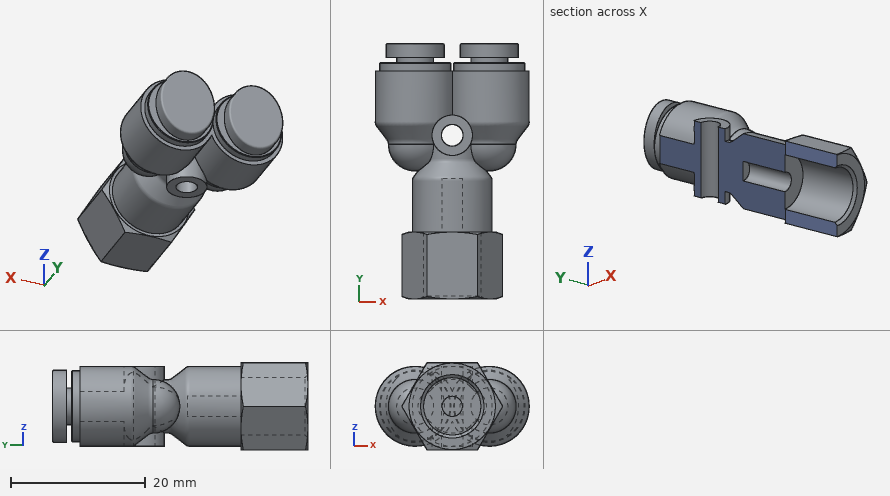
import cadquery as cq
import math

TOTAL_LENGTH = 38
BODY_DIAMETER = 11.9
BODY_RADIUS = BODY_DIAMETER / 2
TOTAL_WIDTH = 22.9
BRANCH_OFFSET = (TOTAL_WIDTH - BODY_DIAMETER) / 2
BRANCH_POSITIONS = (-BRANCH_OFFSET, BRANCH_OFFSET)

NUT_ACROSS_FLATS = 13.0
NUT_ACROSS_CORNERS = NUT_ACROSS_FLATS / math.cos(math.pi / 6)
NUT_LENGTH = 10.0
NUT_FACE_RADIUS = 6.42
NUT_CHAMFER_DEPTH = 0.38
NUT_BORE_DIAMETER = 8.5
NUT_BORE_CHAMFER = 0.45

NECK_RADIUS = 4.0
STEM_SHOULDER_Y = 17.95
STEM_NECK_Y = 20.5
STEM_BLEND = 0.95
BALL_Y = 23.03
BRANCH_NECK_Y = 23.4
BRANCH_SHOULDER_Y = 26.0
BRANCH_TOP_Y = 33.95
BRANCH_BLEND = 1.15
PASSAGE_DIAMETER = 3.0
BOSS_DIAMETER = 6.0
BOSS_HOLE_DIAMETER = 3.2
BOSS_Y = 24.35

COLLAR_DIAMETER = 10.6
COLLAR_TOP_Y = 35.15
COLLAR_CHAMFER = 0.1

BUTTON_WIDTH = 8.65
BUTTON_HEIGHT = 10.8
BUTTON_FLANGE_THICKNESS = 2.1
BUTTON_ROUNDING = 0.25
BUTTON_NECK_DIAMETER = 5.5


def plane_at(y, x=0):
    """Sketch plane facing +Y, with local x to -X and local y to +Z."""
    return cq.Workplane(cq.Plane(origin=(x, y, 0), xDir=(-1, 0, 0), normal=(0, 1, 0)))


def revolve_about_y(points):
    """Turn a half outline of (radius, y) points about the Y axis."""
    return cq.Workplane("XY").polyline(points).close().revolve(360, (0, 0, 0), (0, 1, 0))


def make_nut():
    hexagon = plane_at(0).polygon(6, NUT_ACROSS_CORNERS).extrude(NUT_LENGTH)
    corner_radius = NUT_ACROSS_CORNERS / 2
    corner_limit = revolve_about_y([
        (0, 0),
        (NUT_FACE_RADIUS, 0),
        (corner_radius, NUT_CHAMFER_DEPTH),
        (corner_radius, NUT_LENGTH - NUT_CHAMFER_DEPTH),
        (NUT_FACE_RADIUS, NUT_LENGTH),
        (0, NUT_LENGTH),
    ])
    bore_radius = NUT_BORE_DIAMETER / 2
    bore = revolve_about_y([
        (0, 0),
        (bore_radius + NUT_BORE_CHAMFER, 0),
        (bore_radius, NUT_BORE_CHAMFER),
        (bore_radius, NUT_LENGTH),
        (0, NUT_LENGTH),
    ])
    return hexagon.intersect(corner_limit).cut(bore)


def blended_taper(inner_end_y, neck_y, shoulder_y, outer_end_y, blend):
    """Turned barrel that tapers to the neck radius, with both ends of its cone rounded.

    Each blend is an arc tangent to the cone and to the cylinder beside it.
    """
    side = math.copysign(1, shoulder_y - neck_y)
    cone_radial = BODY_RADIUS - NECK_RADIUS
    cone_axial = abs(shoulder_y - neck_y)
    angle = math.atan2(cone_radial, cone_axial)
    tangent = blend * math.tan(angle / 2)
    sagitta = blend * (1 - math.cos(angle / 2))
    mid_axial = tangent - blend * math.sin(angle / 2)
    cone_step = tangent * math.cos(angle)
    cone_rise = tangent * math.sin(angle)
    return (
        cq.Workplane("XY")
        .moveTo(0, inner_end_y)
        .lineTo(NECK_RADIUS, inner_end_y)
        .lineTo(NECK_RADIUS, neck_y - side * tangent)
        .threePointArc(
            (NECK_RADIUS + sagitta, neck_y - side * mid_axial),
            (NECK_RADIUS + cone_rise, neck_y + side * cone_step),
        )
        .lineTo(BODY_RADIUS - cone_rise, shoulder_y - side * cone_step)
        .threePointArc(
            (BODY_RADIUS - sagitta, shoulder_y + side * mid_axial),
            (BODY_RADIUS, shoulder_y + side * tangent),
        )
        .lineTo(BODY_RADIUS, outer_end_y)
        .lineTo(0, outer_end_y)
        .close()
        .revolve(360, (0, 0, 0), (0, 1, 0))
    )


def make_branch(x):
    """Upper barrel whose narrow end closes in a ball."""
    barrel = blended_taper(BALL_Y, BRANCH_NECK_Y, BRANCH_SHOULDER_Y, BRANCH_TOP_Y, BRANCH_BLEND)
    ball = cq.Workplane("XY").sphere(NECK_RADIUS).translate((0, BALL_Y, 0))
    return barrel.union(ball).translate((x, 0, 0))


def make_housing():
    housing = blended_taper(BOSS_Y, STEM_NECK_Y, STEM_SHOULDER_Y, NUT_LENGTH, STEM_BLEND)
    for x in BRANCH_POSITIONS:
        housing = housing.union(make_branch(x))
    boss_base = cq.Workplane("XY", origin=(0, BOSS_Y, -BODY_RADIUS))
    housing = housing.union(boss_base.circle(BOSS_DIAMETER / 2).extrude(BODY_DIAMETER))
    housing = housing.cut(boss_base.circle(BOSS_HOLE_DIAMETER / 2).extrude(BODY_DIAMETER))
    passage = plane_at(NUT_LENGTH).circle(PASSAGE_DIAMETER / 2).extrude(STEM_SHOULDER_Y - NUT_LENGTH)
    return housing.cut(passage)


def make_collar(x):
    ring = plane_at(BRANCH_TOP_Y, x).circle(COLLAR_DIAMETER / 2).extrude(COLLAR_TOP_Y - BRANCH_TOP_Y)
    return ring.faces(">Y").edges().chamfer(COLLAR_CHAMFER)


def make_button(x):
    """Oval push flange standing on a round neck."""
    flange_y = TOTAL_LENGTH - BUTTON_FLANGE_THICKNESS
    flange = (
        plane_at(flange_y, x)
        .ellipse(BUTTON_WIDTH / 2, BUTTON_HEIGHT / 2)
        .extrude(BUTTON_FLANGE_THICKNESS)
        .faces(">Y")
        .edges()
        .fillet(BUTTON_ROUNDING)
    )
    neck = plane_at(COLLAR_TOP_Y, x).circle(BUTTON_NECK_DIAMETER / 2).extrude(flange_y - COLLAR_TOP_Y)
    return flange.union(neck)


nut = make_nut()
housing = make_housing()
collars = [make_collar(x) for x in BRANCH_POSITIONS]
buttons = [make_button(x) for x in BRANCH_POSITIONS]

result = cq.Compound.makeCompound([
    nut.val(),
    housing.val(),
    *[collar.val() for collar in collars],
    *[button.val() for button in buttons],
])